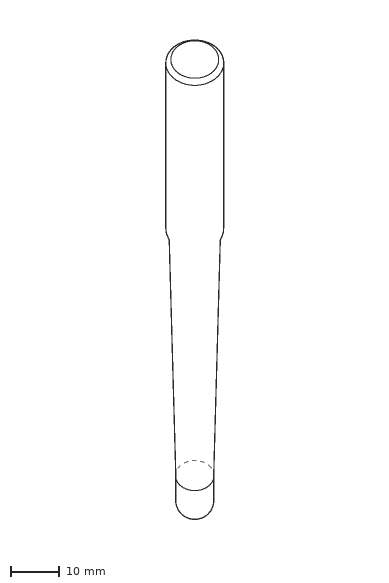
import cadquery as cq
import math

length = 150.0
shank_radius = 12.0 / 2
tip_radius = 8.0 / 2
end_chamfer = 1.0

tip_height = 12.2
taper_bottom = 14.0
taper_top = 90.3
blend_top = 92.5

taper_angle = math.radians(1)
shoulder_angle = math.radians(15)

blend_angle = (taper_angle + shoulder_angle) / 2
taper_top_radius = tip_radius + (taper_top - taper_bottom) * math.tan(taper_angle)
blend_top_radius = taper_top_radius + (blend_top - taper_top) * math.tan(blend_angle)
shoulder_top = blend_top + (shank_radius - blend_top_radius) / math.tan(shoulder_angle)


def make_cutting_tip():
    """Cylinder ending in a hemispherical nose at Z = 0."""
    profile = (
        cq.Workplane("XZ")
        .moveTo(0, 0)
        .radiusArc((tip_radius, tip_radius), -tip_radius)
        .lineTo(tip_radius, tip_height)
        .lineTo(0, tip_height)
        .close()
    )
    return profile.revolve(360, (0, 0), (0, 1))


def make_shank():
    """Straight neck, taper, blended shoulder and cylindrical shank with a chamfered end."""
    profile = (
        cq.Workplane("XZ")
        .moveTo(0, tip_height)
        .lineTo(tip_radius, tip_height)
        .lineTo(tip_radius, taper_bottom)
        .lineTo(taper_top_radius, taper_top)
        .tangentArcPoint((blend_top_radius, blend_top), relative=False)
        .lineTo(shank_radius, shoulder_top)
        .lineTo(shank_radius, length - end_chamfer)
        .lineTo(shank_radius - end_chamfer, length)
        .lineTo(0, length)
        .close()
    )
    return profile.revolve(360, (0, 0), (0, 1))


cutting_tip = make_cutting_tip()
shank = make_shank()

result = cq.Compound.makeCompound([cutting_tip.val(), shank.val()])